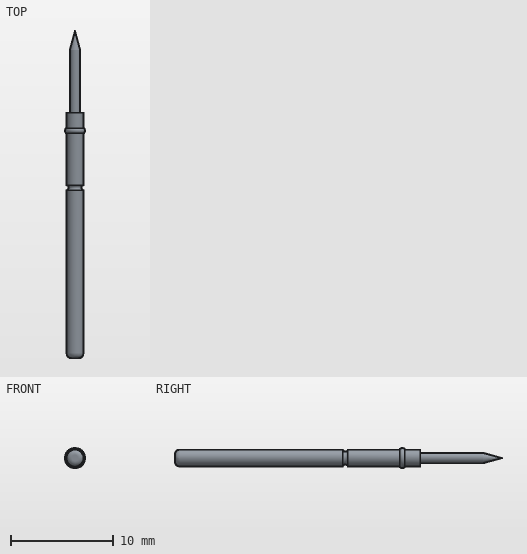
import cadquery as cq

total_length = 32.0
plunger_length = 8.0
cone_length = 1.85
collar_width = 0.5
collar_setback = 1.5
groove_width = 0.5
groove_setback = 7.07

barrel_radius = 0.83
plunger_radius = 0.5
collar_radius = 1.0
collar_edge_radius = 0.85
groove_depth = 0.2
rear_round = 0.48

barrel_length = total_length - plunger_length
collar_front = barrel_length - collar_setback
collar_rear = collar_front - collar_width
collar_crest = collar_front - collar_width / 2
groove_front = barrel_length - groove_setback
groove_rear = groove_front - groove_width
groove_middle = groove_front - groove_width / 2
cone_base = total_length - cone_length

half_section = (
    cq.Workplane("XY")
    .moveTo(0, 0)
    .lineTo(barrel_radius - rear_round, 0)
    .radiusArc((barrel_radius, rear_round), -rear_round)
    .lineTo(barrel_radius, groove_rear)
    .threePointArc((barrel_radius - groove_depth, groove_middle), (barrel_radius, groove_front))
    .lineTo(barrel_radius, collar_rear)
    .lineTo(collar_edge_radius, collar_rear)
    .threePointArc((collar_radius, collar_crest), (collar_edge_radius, collar_front))
    .lineTo(barrel_radius, collar_front)
    .lineTo(barrel_radius, barrel_length)
    .lineTo(plunger_radius, barrel_length)
    .lineTo(plunger_radius, cone_base)
    .lineTo(0, total_length)
    .close()
)

pin = half_section.revolve(360, (0, 0, 0), (0, 1, 0))

result = pin.translate((0, -total_length / 2, 0))